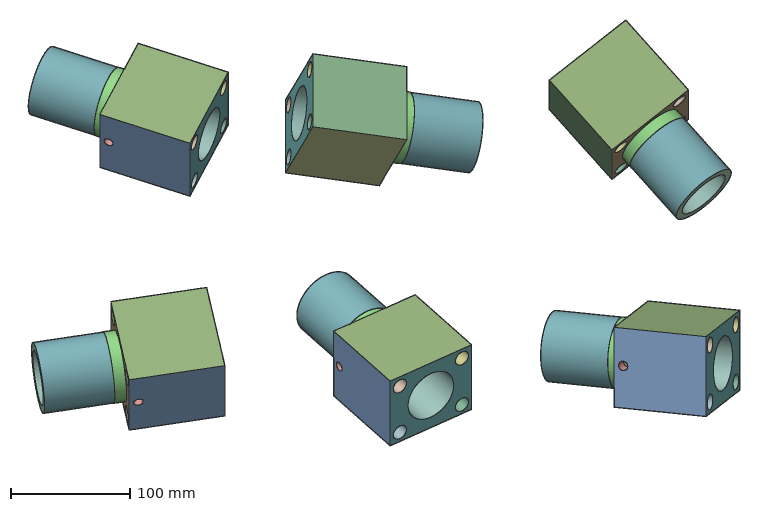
import cadquery as cq
import math

block_length = 82.0
block_width = 84.0
block_height = 70.0

spigot_diameter = 60.5
spigot_length = 60.0
collar_diameter = 61.0
collar_length = 10.0
bore_diameter = 47.0

bolt_diameter = 13.5
bolt_spacing_y = 64.0
bolt_spacing_z = 50.0

port_diameter = 8.0
port_depth = 12.0
cone_angle = 90.0
drilling_diameter = 4.0
port_inset = 8.0
port_height = 2.0

total_length = spigot_length + collar_length + block_length


def make_block():
    return cq.Workplane("YZ").rect(block_width, block_height).extrude(block_length)


def make_spigot():
    collar = cq.Workplane("YZ").circle(collar_diameter / 2).extrude(-collar_length)
    tube = (
        cq.Workplane("YZ", origin=(-collar_length, 0, 0))
        .circle(spigot_diameter / 2)
        .extrude(-spigot_length)
    )
    return collar.union(tube)


def make_bore():
    start = (-collar_length - spigot_length, 0, 0)
    return cq.Workplane("YZ", origin=start).circle(bore_diameter / 2).extrude(total_length)


def make_bolt_holes():
    return (
        cq.Workplane("YZ")
        .rect(bolt_spacing_y, bolt_spacing_z, forConstruction=True)
        .vertices()
        .circle(bolt_diameter / 2)
        .extrude(block_length)
    )


def make_port():
    port_radius = port_diameter / 2
    cone_length = port_radius / math.tan(math.radians(cone_angle / 2))
    profile = (
        cq.Workplane("XY", origin=(port_inset, -block_width / 2, port_height))
        .lineTo(port_radius, 0)
        .lineTo(port_radius, port_depth)
        .lineTo(0, port_depth + cone_length)
        .close()
    )
    port = profile.revolve(360, (0, 0, 0), (0, 1, 0))
    drilling = (
        cq.Workplane("XZ", origin=(port_inset, -block_width / 2, port_height))
        .circle(drilling_diameter / 2)
        .extrude(-block_width / 2)
    )
    return port.union(drilling)


result = (
    make_block()
    .union(make_spigot())
    .cut(make_bore())
    .cut(make_bolt_holes())
    .cut(make_port())
)